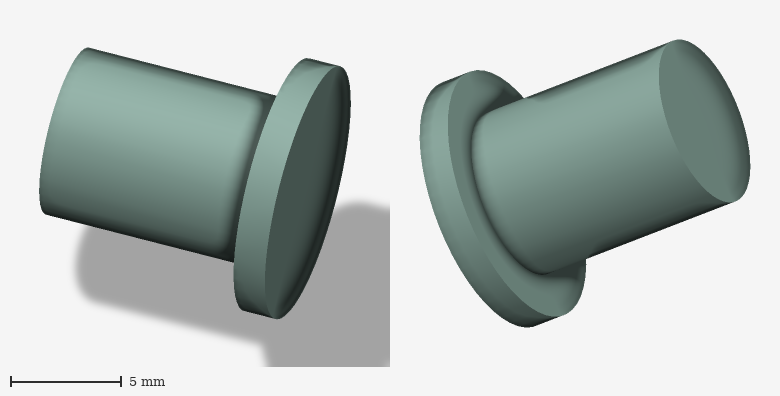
import cadquery as cq

shank_diameter = 7.8
shank_length = 10.0
flange_diameter = 11.8
flange_thickness = 1.5

shank_radius = shank_diameter / 2
flange_radius = flange_diameter / 2
total_length = shank_length + flange_thickness


def headed_pin():
    """Revolve the stepped half section about the X axis."""
    half_section = (
        cq.Workplane("XZ")
        .moveTo(0, 0)
        .lineTo(0, shank_radius)
        .lineTo(shank_length, shank_radius)
        .lineTo(shank_length, flange_radius)
        .lineTo(total_length, flange_radius)
        .lineTo(total_length, 0)
        .close()
    )
    return half_section.revolve(360, (0, 0, 0), (1, 0, 0))


result = headed_pin()